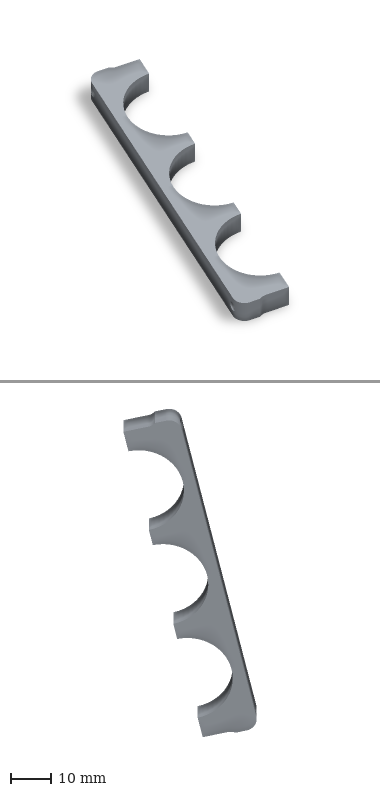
import cadquery as cq
import math

length = 88.65
depth = 14.3
height = 6.4

front_corner_radius = 3.2
side_step = 0.6
step_start_y = 6.0
step_blend_radius = 3.2

cradle_count = 3
cradle_pitch = 26.9
cradle_radius = 11.3

hole_diameter = 2.5
hole_spacing = 81.9

half_length = length / 2
back_half_length = half_length - side_step
blend_run = math.sqrt(step_blend_radius**2 - (step_blend_radius - side_step) ** 2)
step_end_y = step_start_y + blend_run


def make_bar():
    """Bar with stepped ends and rounded front corners, centred on X."""
    bar = (
        cq.Workplane("XY")
        .moveTo(-half_length, 0)
        .lineTo(half_length, 0)
        .lineTo(half_length, step_start_y)
        .radiusArc((back_half_length, step_end_y), step_blend_radius)
        .lineTo(back_half_length, depth)
        .lineTo(-back_half_length, depth)
        .lineTo(-back_half_length, step_end_y)
        .radiusArc((-half_length, step_start_y), step_blend_radius)
        .close()
        .extrude(height)
    )
    return bar.edges("|Z and <Y").fillet(front_corner_radius)


def make_cradles():
    """Row of cylinders centred on the back face."""
    return (
        cq.Workplane("XY")
        .center(0, depth)
        .rarray(cradle_pitch, 0.9, cradle_count, 1)
        .circle(cradle_radius)
        .extrude(height)
    )


def make_holes():
    """Pair of cylinders through the full depth at mid height."""
    return (
        cq.Workplane("XZ")
        .center(0, height / 2)
        .rarray(hole_spacing, 0.9, 2, 1)
        .circle(hole_diameter / 2)
        .extrude(-depth)
    )


result = make_bar().cut(make_cradles()).cut(make_holes())